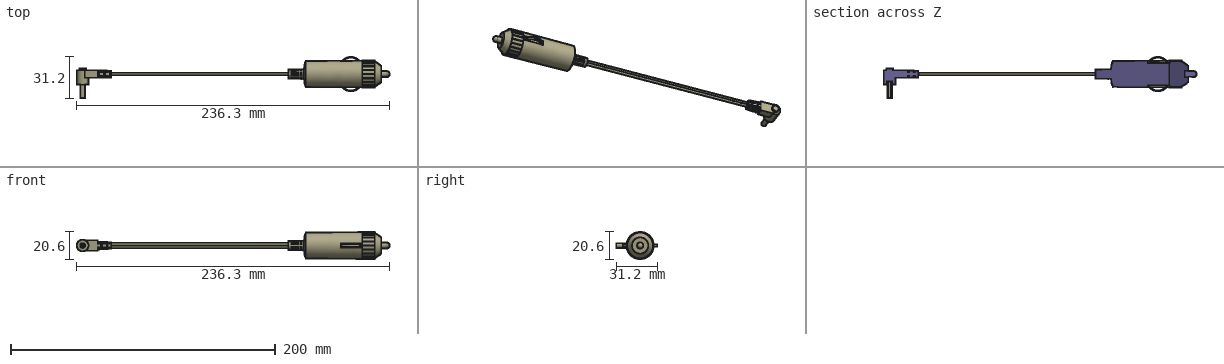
import cadquery as cq
import math

LENGTH = 236.3

BARREL_RADIUS = 4.5
BARREL_FRONT_Y = -8.0
BARREL_X = BARREL_RADIUS
ARM_END_X = 16.0
ARM_WIDTH = 6.0
ARM_HEIGHT = 8.3
BARREL_BACK_Y = ARM_WIDTH / 2
BOSS_RADIUS = 2.5
BOSS_HEIGHT = 1.5

SLEEVE_RADIUS = 2.0
SLEEVE_BORE_RADIUS = 1.0
SLEEVE_TIP_Y = -18.2
SLEEVE_SEAT_DEPTH = 2.4

GROOVE_WIDTH = 1.0
GROOVE_PITCH = 2.2
GROOVE_COUNT = 5

BLOCK_RELIEF_END_X = 26.2
BLOCK_RELIEF_ROOT_WIDTH = ARM_WIDTH
BLOCK_RELIEF_ROOT_HEIGHT = 6.1
BLOCK_RELIEF_END_WIDTH = 5.2
BLOCK_RELIEF_END_HEIGHT = 5.0
BLOCK_RELIEF_CORE_SIZE = 2.8

ROUND_RELIEF_START_X = 159.8
ROUND_RELIEF_FIRST_GROOVE_X = 162.1
ROUND_RELIEF_START_RADIUS = 3.5
ROUND_RELIEF_ROOT_RADIUS = 3.8
ROUND_RELIEF_CORE_RADIUS = 2.1
RIB_PITCH_ANGLE = 60
RIB_WIDTH = 2.0

WIRE_RADIUS = 1.06

HOUSING_START_X = 171.5
HOUSING_RIM_X = 173.0
HOUSING_RIM_RADIUS = 10.0
HOUSING_END_RADIUS = 10.28

CAP_X = 215.8
CAP_RING_END_X = 225.0
CAP_RADIUS = 10.28
CAP_GROOVE_COUNT = 20
CAP_GROOVE_WIDTH = 0.35
CAP_GROOVE_DEPTH = 0.35
NOSE_ROOT_RADIUS = 9.7
NOSE_BULGE_X = 227.5
NOSE_BULGE_RADIUS = 8.0
NOSE_END_X = 230.0
NOSE_END_RADIUS = 6.1

TIP_RADIUS = 2.4
TIP_SEAT_DEPTH = 2.4

SPRING_REACH = 13.0
SPRING_RADIUS = 8.3
SPRING_THICKNESS = 0.6
SPRING_WIDTH = 2.1
SPRING_X = 207.0
WINDOW_START_X = 199.5
WINDOW_HEIGHT = 3.5
WINDOW_FLOOR = 8.5


def cylinder_x(radius, start_x, end_x):
    """Round bar along the cord line."""
    return cq.Workplane("YZ", origin=(start_x, 0, 0)).circle(radius).extrude(end_x - start_x)


def cylinder_y(radius, start_y, end_y):
    """Round bar along Y through the middle of the right-angle plug."""
    plane = cq.Plane(origin=(BARREL_X, start_y, 0), xDir=(1, 0, 0), normal=(0, 1, 0))
    return cq.Workplane(plane).circle(radius).extrude(end_y - start_y)


def cone_x(start_radius, end_radius, start_x, end_x):
    """Tapered round bar along the cord line."""
    outline = [(start_x, 0), (start_x, start_radius), (end_x, end_radius), (end_x, 0)]
    return cq.Workplane("XY").polyline(outline).close().revolve(360, (0, 0, 0), (1, 0, 0))


def make_block_relief():
    """Tapered block with pairs of notches, by turns above and below and at the two sides."""
    block = (
        cq.Workplane("YZ", origin=(ARM_END_X, 0, 0))
        .rect(BLOCK_RELIEF_ROOT_WIDTH, BLOCK_RELIEF_ROOT_HEIGHT)
        .workplane(offset=BLOCK_RELIEF_END_X - ARM_END_X)
        .rect(BLOCK_RELIEF_END_WIDTH, BLOCK_RELIEF_END_HEIGHT)
        .loft(ruled=True)
    )
    clearance = 2 * BLOCK_RELIEF_ROOT_HEIGHT
    for index in range(GROOVE_COUNT):
        groove = cq.Workplane("YZ", origin=(ARM_END_X + index * GROOVE_PITCH, 0, 0))
        if index % 2 == 0:
            kept_width, kept_height = clearance, BLOCK_RELIEF_CORE_SIZE
        else:
            kept_width, kept_height = BLOCK_RELIEF_CORE_SIZE, clearance
        notches = groove.rect(clearance, clearance).extrude(GROOVE_WIDTH)
        notches = notches.cut(groove.rect(kept_width, kept_height).extrude(GROOVE_WIDTH))
        block = block.cut(notches)
    return block


def make_round_relief():
    """Round sleeve with ring grooves that leave the core and the radial ribs."""
    relief = cone_x(
        ROUND_RELIEF_START_RADIUS,
        ROUND_RELIEF_ROOT_RADIUS,
        ROUND_RELIEF_START_X,
        HOUSING_START_X,
    )
    for index in range(GROOVE_COUNT):
        start_x = ROUND_RELIEF_FIRST_GROOVE_X + index * GROOVE_PITCH
        end_x = start_x + GROOVE_WIDTH
        groove = cylinder_x(2 * ROUND_RELIEF_ROOT_RADIUS, start_x, end_x)
        groove = groove.cut(cylinder_x(ROUND_RELIEF_CORE_RADIUS, start_x, end_x))
        for angle in range(0, 180, RIB_PITCH_ANGLE):
            rib_pair = (
                cq.Workplane("YZ", origin=(start_x, 0, 0))
                .transformed(rotate=(0, 0, angle))
                .rect(5 * ROUND_RELIEF_ROOT_RADIUS, RIB_WIDTH)
                .extrude(GROOVE_WIDTH)
            )
            groove = groove.cut(rib_pair)
        relief = relief.cut(groove)
    return relief


def make_plug():
    barrel = cylinder_y(BARREL_RADIUS, BARREL_FRONT_Y, BARREL_BACK_Y)
    boss = cylinder_y(BOSS_RADIUS, BARREL_BACK_Y, BARREL_BACK_Y + BOSS_HEIGHT)
    arm_length = ARM_END_X - BARREL_X
    arm = (
        cq.Workplane("XY")
        .box(arm_length, ARM_WIDTH, ARM_HEIGHT)
        .translate((BARREL_X + arm_length / 2, 0, 0))
    )
    seat = cylinder_y(SLEEVE_RADIUS, BARREL_FRONT_Y, BARREL_FRONT_Y + SLEEVE_SEAT_DEPTH)
    return barrel.union(boss).union(arm).union(make_block_relief()).cut(seat)


def make_sleeve():
    back_y = BARREL_FRONT_Y + SLEEVE_SEAT_DEPTH
    outside = cylinder_y(SLEEVE_RADIUS, SLEEVE_TIP_Y, back_y)
    return outside.cut(cylinder_y(SLEEVE_BORE_RADIUS, SLEEVE_TIP_Y, back_y))


def make_wire(side):
    wire = cylinder_x(WIRE_RADIUS, BLOCK_RELIEF_END_X, ROUND_RELIEF_START_X)
    return wire.translate((0, 0, side * WIRE_RADIUS))


def make_housing():
    body = (
        cq.Workplane("XY")
        .moveTo(HOUSING_START_X, 0)
        .lineTo(HOUSING_START_X, ROUND_RELIEF_ROOT_RADIUS)
        .tangentArcPoint((HOUSING_RIM_X, HOUSING_RIM_RADIUS), relative=False)
        .lineTo(CAP_X, HOUSING_END_RADIUS)
        .lineTo(CAP_X, 0)
        .close()
        .revolve(360, (0, 0, 0), (1, 0, 0))
    )
    body = body.union(make_round_relief())
    window_length = CAP_X - WINDOW_START_X
    window_depth = SPRING_REACH - WINDOW_FLOOR
    for side in (-1, 1):
        window = (
            cq.Workplane("XY")
            .box(window_length, window_depth, WINDOW_HEIGHT)
            .translate((WINDOW_START_X + window_length / 2, side * (WINDOW_FLOOR + window_depth / 2), 0))
        )
        body = body.cut(window)
    return body


def make_cap():
    ring = cylinder_x(CAP_RADIUS, CAP_X, CAP_RING_END_X)
    for index in range(CAP_GROOVE_COUNT):
        groove = (
            cq.Workplane("XY")
            .box(CAP_RING_END_X - CAP_X, 2 * CAP_GROOVE_DEPTH, CAP_GROOVE_WIDTH)
            .translate(((CAP_X + CAP_RING_END_X) / 2, CAP_RADIUS, 0))
            .rotate((0, 0, 0), (1, 0, 0), index * 360 / CAP_GROOVE_COUNT)
        )
        ring = ring.cut(groove)
    nose = (
        cq.Workplane("XY")
        .moveTo(CAP_RING_END_X, 0)
        .lineTo(CAP_RING_END_X, NOSE_ROOT_RADIUS)
        .threePointArc((NOSE_BULGE_X, NOSE_BULGE_RADIUS), (NOSE_END_X, NOSE_END_RADIUS))
        .lineTo(NOSE_END_X, 0)
        .close()
        .revolve(360, (0, 0, 0), (1, 0, 0))
    )
    seat = cylinder_x(TIP_RADIUS, NOSE_END_X - TIP_SEAT_DEPTH, NOSE_END_X)
    return ring.union(nose).cut(seat)


def make_tip():
    ball_x = LENGTH - TIP_RADIUS
    shank = cylinder_x(TIP_RADIUS, NOSE_END_X - TIP_SEAT_DEPTH, ball_x)
    return shank.union(cq.Workplane("XY").sphere(TIP_RADIUS).translate((ball_x, 0, 0)))


def make_spring(side):
    arc_y = SPRING_REACH - SPRING_RADIUS
    inner_radius = SPRING_RADIUS - SPRING_THICKNESS
    foot_y = WINDOW_FLOOR - arc_y
    outer_foot_x = math.sqrt(SPRING_RADIUS**2 - foot_y**2)
    inner_foot_x = math.sqrt(inner_radius**2 - foot_y**2)
    strip = (
        cq.Workplane("XY", origin=(SPRING_X, arc_y, 0))
        .moveTo(-outer_foot_x, foot_y)
        .threePointArc((0, SPRING_RADIUS), (outer_foot_x, foot_y))
        .lineTo(inner_foot_x, foot_y)
        .threePointArc((0, inner_radius), (-inner_foot_x, foot_y))
        .close()
        .extrude(SPRING_WIDTH / 2, both=True)
    )
    return strip if side > 0 else strip.mirror("XZ")


plug = make_plug()
sleeve = make_sleeve()
wires = [make_wire(side) for side in (-1, 1)]
housing = make_housing()
cap = make_cap()
tip = make_tip()
springs = [make_spring(side) for side in (-1, 1)]

bodies = [plug, sleeve, *wires, housing, cap, tip, *springs]
result = cq.Compound.makeCompound([body.val() for body in bodies])